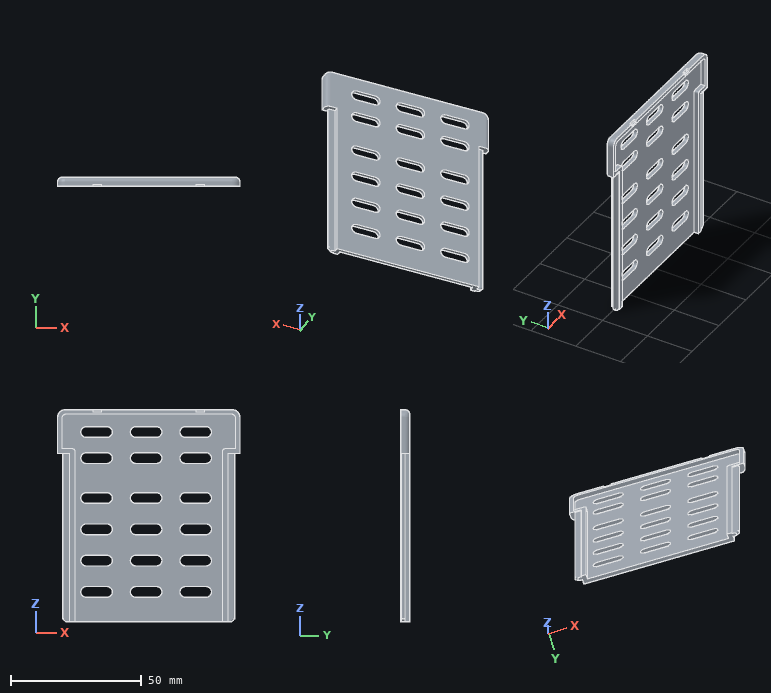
import cadquery as cq
WIDTH = 70.0
THICKNESS = 3.6
HEIGHT = 81.4

BACK_Y = THICKNESS / 2
FRONT_Y = -THICKNESS / 2
PLATE_THICKNESS = 1.7
PLATE_FRONT_Y = BACK_Y - PLATE_THICKNESS

HEAD_HEIGHT = 16.9
HEAD_BOTTOM_Z = HEIGHT - HEAD_HEIGHT
HEAD_CORNER_RADIUS = 3.0
BACK_EDGE_RADIUS = 1.9

RIM_WIDTH = 1.7
RAIL_WIDTH = 2.0
RAIL_OUTER_X = 30.3
RAIL_INNER_X = RAIL_OUTER_X - RAIL_WIDTH
RECESS_TOP_RADIUS = 1.7
RECESS_STEP_RADIUS = 1.0
SHELF_WIDTH = 1.9
RECESS_STEP_Z = HEAD_BOTTOM_Z + SHELF_WIDTH

TONGUE_OUTER_X = 33.0
TONGUE_BACK_Y = BACK_Y - BACK_EDGE_RADIUS
TONGUE_FRONT_Y = -1.45
TONGUE_EDGE_RADIUS = 0.55
TONGUE_END_CHAMFER = 1.2

SLOT_LENGTH = 12.0
SLOT_HEIGHT = 4.0
SLOT_COLUMN_PITCH = 19.0
SLOT_MIDDLE_X = -1.0
SLOT_COLUMNS = [SLOT_MIDDLE_X + i * SLOT_COLUMN_PITCH for i in (-1, 0, 1)]
LOWEST_SLOT_Z = 11.5
SLOT_ROW_PITCH = 12.0
UPPER_SLOT_ROWS = [62.8, 72.8]
SLOT_ROWS = [LOWEST_SLOT_Z + i * SLOT_ROW_PITCH for i in range(4)] + UPPER_SLOT_ROWS

NOTCH_X = 19.75
NOTCH_WIDTH = 3.1
NOTCH_DEPTH = 0.8
NOTCH_HEIGHT = 0.9


def block(x_min, x_max, y_min, y_max, z_min, z_max):
    """Box given by its limits along each axis."""
    size = (x_max - x_min, y_max - y_min, z_max - z_min)
    return cq.Workplane("XY").box(*size, centered=False).translate((x_min, y_min, z_min))


def make_head():
    """Full-thickness head with round upper corners and a rounded back edge."""
    head = block(-WIDTH / 2, WIDTH / 2, FRONT_Y, BACK_Y, HEAD_BOTTOM_Z, HEIGHT)
    head = head.edges("|Y and >Z").fillet(HEAD_CORNER_RADIUS)
    return head.edges(">Y and (not <Z)").fillet(BACK_EDGE_RADIUS)


def make_body():
    """Plate and rails below the head, before the front face is recessed."""
    return block(-RAIL_OUTER_X, RAIL_OUTER_X, FRONT_Y, BACK_Y, 0, HEAD_BOTTOM_Z)


def make_recess():
    """Cutter that lowers the front face to the plate, leaving the rim and rails."""
    head_x = WIDTH / 2 - RIM_WIDTH
    wide = block(-head_x, head_x, FRONT_Y, PLATE_FRONT_Y, RECESS_STEP_Z, HEIGHT - RIM_WIDTH)
    narrow = block(-RAIL_INNER_X, RAIL_INNER_X, FRONT_Y, PLATE_FRONT_Y, 0, RECESS_STEP_Z)
    recess = wide.edges("|Y and >Z").fillet(RECESS_TOP_RADIUS).union(narrow)
    step_corners = cq.selectors.BoxSelector(
        (-RAIL_INNER_X - RECESS_STEP_RADIUS, FRONT_Y, RECESS_STEP_Z - RECESS_STEP_RADIUS),
        (RAIL_INNER_X + RECESS_STEP_RADIUS, PLATE_FRONT_Y, RECESS_STEP_Z + RECESS_STEP_RADIUS),
    )
    return recess.edges("|Y").edges(step_corners).fillet(RECESS_STEP_RADIUS)


def make_tongue():
    """Guide tongue on the +X rail, with rounded outer edges and a cut lower corner."""
    tongue = block(
        RAIL_OUTER_X, TONGUE_OUTER_X,
        TONGUE_FRONT_Y, TONGUE_BACK_Y,
        0, HEAD_BOTTOM_Z,
    )
    tongue = tongue.edges("|Y and >X and <Z").chamfer(TONGUE_END_CHAMFER)
    return tongue.edges("(>X or <(-1, 0, 1)) and (not |Y)").fillet(TONGUE_EDGE_RADIUS)


def make_slots():
    """Grid of horizontal vent slots through the plate."""
    centres = [(x, z) for x in SLOT_COLUMNS for z in SLOT_ROWS]
    return (
        cq.Workplane("XZ", origin=(0, BACK_Y, 0))
        .pushPoints(centres)
        .slot2D(SLOT_LENGTH, SLOT_HEIGHT)
        .extrude(THICKNESS)
    )


def make_notch(centre_x):
    """Notch cutter, open to the front and to the top."""
    half_width = NOTCH_WIDTH / 2
    return block(
        centre_x - half_width, centre_x + half_width,
        FRONT_Y, FRONT_Y + NOTCH_DEPTH,
        HEIGHT - NOTCH_HEIGHT, HEIGHT,
    )


result = make_head().union(make_body()).cut(make_recess())
right_tongue = make_tongue()
result = result.union(right_tongue).union(right_tongue.mirror("YZ"))
result = result.cut(make_slots())
for notch_x in (-NOTCH_X, NOTCH_X):
    result = result.cut(make_notch(notch_x))